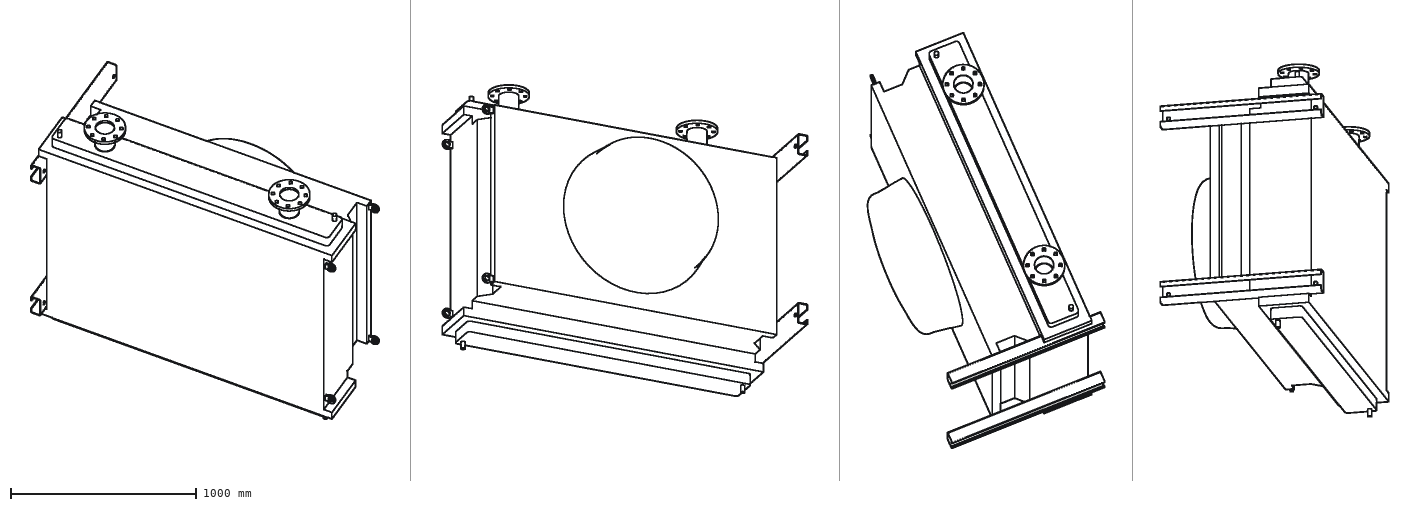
import cadquery as cq
import math


core_half_width = 842.0
core_depth = 280.0
flange_half_width = 891.0
flange_top = 620.0
flange_thickness = 50.0

header_half_width = core_half_width
header_depth = 176.0
header_height = 63.0
header_corner_radius = 18.0
header_top = flange_top + header_height
header_mid_y = core_depth / 2

nozzle_offset_x = 560.0
nozzle_top = 813.2
pipe_radius = 55.0
bore_radius = 51.3
nozzle_flange_radius = 112.0
nozzle_flange_thickness = 18.0
bolt_count = 8
bolt_circle_radius = 89.1
bolt_hole_radius = 9.0

pin_radius = 11.7
pin_height = 38.7
pin_offset_x = 807.0
pin_offset_y = 54.0

shroud_half_height = 522.0
shroud_step_y = 342.0
waist_half_width = 779.0
waist_start_y = shroud_step_y + core_half_width - waist_half_width
back_plate_half_width = 840.0
back_plate_thickness = 49.5
shroud_back_y = 562.0
back_plate_front_y = shroud_back_y - back_plate_thickness

hood_base_radius = 429.5
hood_rim_radius = 407.0
hood_cone_end_y = 711.0
hood_tip_y = 825.0
hood_dome_height = 52.0
hood_shoulder_radius = 49.0

rail_width = 60.3
rail_height = 121.5
rail_lip = 30.0
rail_thickness = 5.0
rail_bend_radius = 10.0
rail_front_y = -70.0
rail_back_y = 825.0
rail_length = rail_back_y - rail_front_y
rail_mid_z = 499.0
rail_hole_radius = 9.9
rail_hole_ys = (-26.1, 792.0)

eye_radius = 26.1
eye_hole_radius = 15.0
eye_thickness = 10.0
eye_stem_width = 36.0
eye_center_x = 872.5
front_eye_y = 24.3
back_eye_y = shroud_back_y - back_plate_thickness / 2


def block(half_width, y_front, y_back, z_low, z_high):
    """Box centred on X = 0."""
    base = cq.Workplane("XY", origin=(0, (y_front + y_back) / 2, z_low))
    return base.rect(2 * half_width, y_back - y_front).extrude(z_high - z_low)


def upright_cylinder(x, y, z_low, z_high, radius):
    return cq.Workplane("XY", origin=(x, y, z_low)).circle(radius).extrude(z_high - z_low)


def make_core():
    core = block(core_half_width, 0, core_depth, -flange_top, flange_top)
    flange_underside = flange_top - flange_thickness
    core = core.union(block(flange_half_width, 0, core_depth, flange_underside, flange_top))
    return core.union(block(flange_half_width, 0, core_depth, -flange_top, -flange_underside))


def make_header():
    """Top header box with its two pins at opposite corners."""
    front_y = header_mid_y - header_depth / 2
    header = block(header_half_width, front_y, front_y + header_depth, flange_top, header_top)
    header = header.edges("|Z").fillet(header_corner_radius)
    for side in (-1, 1):
        pin_y = header_mid_y + side * pin_offset_y
        pin = upright_cylinder(side * pin_offset_x, pin_y, header_top, header_top + pin_height, pin_radius)
        header = header.union(pin)
    return header


def make_nozzle(x):
    pipe = upright_cylinder(x, header_mid_y, header_top, nozzle_top, pipe_radius)
    flange_bottom = nozzle_top - nozzle_flange_thickness
    flange = upright_cylinder(x, header_mid_y, flange_bottom, nozzle_top, nozzle_flange_radius)
    bolt_holes = (
        cq.Workplane("XY", origin=(x, header_mid_y, flange_bottom))
        .polarArray(bolt_circle_radius, 180 / bolt_count, 360, bolt_count)
        .circle(bolt_hole_radius)
        .extrude(nozzle_flange_thickness)
    )
    bore = upright_cylinder(x, header_mid_y, header_top, nozzle_top, bore_radius)
    return pipe.union(flange).cut(bolt_holes).cut(bore)


def make_shroud():
    half_outline = [
        (core_half_width, core_depth),
        (core_half_width, shroud_step_y),
        (waist_half_width, waist_start_y),
        (waist_half_width, back_plate_front_y),
        (back_plate_half_width, back_plate_front_y),
        (back_plate_half_width, shroud_back_y),
    ]
    mirrored_outline = [(-x, y) for x, y in reversed(half_outline)]
    return (
        cq.Workplane("XY", origin=(0, 0, -shroud_half_height))
        .polyline(half_outline + mirrored_outline)
        .close()
        .extrude(2 * shroud_half_height)
    )


def make_hood():
    """Cone and short rim closed by a shallow dome with a rounded shoulder, turned about Y."""
    dome_edge_y = hood_tip_y - hood_dome_height
    sphere_radius = (hood_rim_radius**2 + hood_dome_height**2) / (2 * hood_dome_height)
    mid_radius = hood_rim_radius / 2
    mid_drop = sphere_radius - math.sqrt(sphere_radius**2 - mid_radius**2)
    hood = (
        cq.Workplane("XY")
        .moveTo(0, shroud_back_y)
        .lineTo(hood_base_radius, shroud_back_y)
        .lineTo(hood_rim_radius, hood_cone_end_y)
        .lineTo(hood_rim_radius, dome_edge_y)
        .threePointArc((mid_radius, hood_tip_y - mid_drop), (0, hood_tip_y))
        .close()
        .revolve(360, (0, 0), (0, 1))
    )
    dome_edge = hood.edges(cq.selectors.NearestToPointSelector((0, dome_edge_y, 0)))
    return dome_edge.fillet(hood_shoulder_radius)


def make_cooler():
    cooler = make_core().union(make_shroud()).union(make_hood())
    header = make_header()
    bottom_header = header.rotate((0, 0, 0), (0, 1, 0), 180)
    cooler = cooler.union(header).union(bottom_header)
    for side in (-1, 1):
        cooler = cooler.union(make_nozzle(side * nozzle_offset_x))
    return cooler


def make_rail(mid_z):
    """Channel with its web against the core and its lipped opening facing -X."""
    mid_x = -core_half_width - rail_width / 2
    front = cq.Workplane("XZ", origin=(mid_x, rail_back_y, mid_z))
    inner_width = rail_width - 2 * rail_thickness
    inner_height = rail_height - 2 * rail_thickness
    rail = front.rect(rail_width, rail_height).extrude(rail_length).edges("|Y").fillet(rail_bend_radius)
    inside = front.rect(inner_width, inner_height).extrude(rail_length)
    inside = inside.edges("|Y").fillet(rail_bend_radius - rail_thickness)
    opening = (
        front.center(-rail_width / 2, 0)
        .rect(rail_width, rail_height - 2 * rail_lip)
        .extrude(rail_length)
    )
    holes = (
        cq.Workplane("YZ", origin=(-core_half_width - rail_width, 0, mid_z))
        .pushPoints([(y, 0) for y in rail_hole_ys])
        .circle(rail_hole_radius)
        .extrude(rail_width)
    )
    return rail.cut(inside).cut(opening).cut(holes)


def make_eye(base_x, y, z):
    """Flat ring on a short stem that stands on a face at base_x."""
    plane = cq.Workplane("XZ", origin=(eye_center_x, y + eye_thickness / 2, z))
    reach = eye_center_x - base_x
    ring = plane.circle(eye_radius).extrude(eye_thickness)
    stem = plane.center(-reach / 2, 0).rect(reach, eye_stem_width).extrude(eye_thickness)
    hole = plane.circle(eye_hole_radius).extrude(eye_thickness)
    return ring.union(stem).cut(hole)


cooler = make_cooler()
levels = (-rail_mid_z, rail_mid_z)
rails = [make_rail(z) for z in levels]
front_eyes = [make_eye(core_half_width, front_eye_y, z) for z in levels]
back_eyes = [make_eye(back_plate_half_width, back_eye_y, z) for z in levels]

result = cq.Compound.makeCompound([body.val() for body in [cooler, *rails, *front_eyes, *back_eyes]])